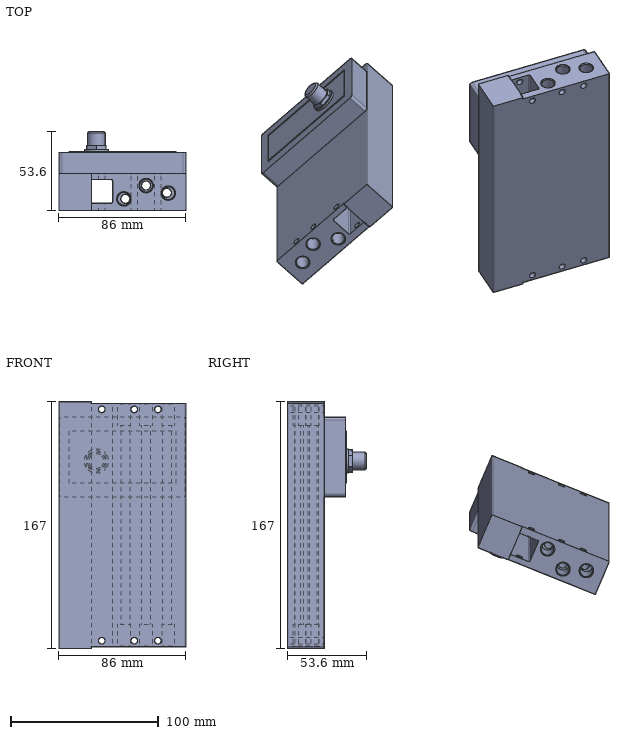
import cadquery as cq
import math

BLOCK_WIDTH = 86.0
BLOCK_DEPTH = 25.0
CAP_WIDTH = 22.2
CAP_STEP = 1.2
OVERALL_HEIGHT = 167.0
BLOCK_BOTTOM = CAP_STEP
BLOCK_TOP = OVERALL_HEIGHT - CAP_STEP
EDGE_RADIUS = 0.6

DUCT_WIDTH = 14.1
DUCT_FRONT = 5.1
DUCT_BACK = 21.0
DUCT_CORNER_RADIUS = 1.0

MOUNT_HOLE_DIAMETER = 4.3
MOUNT_HOLE_X = (29.0, 51.0, 67.0)
MOUNT_HOLE_INSET = 5.3

PORTS = (
    (44.0, 8.0, 45.0, 8.0),
    (59.0, 17.0, 59.0, 17.0),
    (74.0, 11.9, 73.1, 12.1),
)
PORT_DIAMETER = 8.6
PORT_CHAMFER = 0.6
PORT_DEPTH = 15.0
PASSAGE_DIAMETER = 6.0

HOUSING_DEPTH = 14.5
HOUSING_BOTTOM = 102.6
HOUSING_HEIGHT = 53.9
HOUSING_CORNER_RADIUS = 2.0
HOUSING_BACK = BLOCK_DEPTH + HOUSING_DEPTH
HOUSING_CENTER_Z = HOUSING_BOTTOM + HOUSING_HEIGHT / 2

LABEL_WIDTH = 72.4
LABEL_HEIGHT = 35.0
LABEL_THICKNESS = 0.5

CONNECTOR_X = 25.4
CONNECTOR_Z = 126.8
CONNECTOR_END = 53.6
BARREL_DIAMETER = 12.2
BARREL_CHAMFER = 1.1
NUT_ACROSS_FLATS = 13.2
NUT_END = 44.0
WASHER_DIAMETER = 16.4
WASHER_END = 41.4


def box(x_min, x_max, y_min, y_max, z_min, z_max):
    """Box between two opposite corners."""
    size = (x_max - x_min, y_max - y_min, z_max - z_min)
    return cq.Workplane("XY").box(*size, centered=False).translate((x_min, y_min, z_min))


def back_facing_plane(x, y, z):
    """Workplane at a point, with its normal along +Y."""
    return cq.Workplane(cq.Plane(origin=(x, y, z), xDir=(1, 0, 0), normal=(0, 1, 0)))


def make_block():
    """Block with a taller cap column on its left side."""
    block = box(0, BLOCK_WIDTH, 0, BLOCK_DEPTH, BLOCK_BOTTOM, BLOCK_TOP)
    block = block.edges("|Z").fillet(EDGE_RADIUS)
    for cap_bottom in (0, BLOCK_TOP):
        cap = box(0, CAP_WIDTH, 0, BLOCK_DEPTH, cap_bottom, cap_bottom + CAP_STEP)
        block = block.union(cap.edges("|Z").fillet(EDGE_RADIUS))
    return block


def make_duct():
    duct = box(CAP_WIDTH, CAP_WIDTH + DUCT_WIDTH, DUCT_FRONT, DUCT_BACK, 0, OVERALL_HEIGHT)
    return duct.edges("|Z and >X").fillet(DUCT_CORNER_RADIUS)


def make_mount_holes():
    places = []
    for x in MOUNT_HOLE_X:
        places.append((x, MOUNT_HOLE_INSET))
        places.append((x, OVERALL_HEIGHT - MOUNT_HOLE_INSET))
    sketch = cq.Workplane("XZ").pushPoints(places)
    return sketch.circle(MOUNT_HOLE_DIAMETER / 2).extrude(-BLOCK_DEPTH)


def make_port(x, y, passage_x, passage_y):
    """Chamfered bore in each end, joined by a narrower passage."""
    radius = PORT_DIAMETER / 2
    profile = [
        (0, BLOCK_TOP),
        (radius + PORT_CHAMFER, BLOCK_TOP),
        (radius, BLOCK_TOP - PORT_CHAMFER),
        (radius, BLOCK_TOP - PORT_DEPTH),
        (0, BLOCK_TOP - PORT_DEPTH),
    ]
    upper_bore = cq.Workplane("XZ").polyline(profile).close().revolve(360, (0, 0), (0, 1))
    lower_bore = upper_bore.mirror("XY", (0, 0, OVERALL_HEIGHT / 2))
    passage = cq.Workplane("XY").circle(PASSAGE_DIAMETER / 2).extrude(OVERALL_HEIGHT)
    bores = upper_bore.union(lower_bore).translate((x, y, 0))
    return bores.union(passage.translate((passage_x, passage_y, 0)))


def make_housing():
    housing_top = HOUSING_BOTTOM + HOUSING_HEIGHT
    housing = box(0, BLOCK_WIDTH, BLOCK_DEPTH, HOUSING_BACK, HOUSING_BOTTOM, housing_top)
    housing = housing.edges("|Y").fillet(HOUSING_CORNER_RADIUS)
    label = back_facing_plane(BLOCK_WIDTH / 2, HOUSING_BACK, HOUSING_CENTER_Z)
    label = label.rect(LABEL_WIDTH, LABEL_HEIGHT).extrude(LABEL_THICKNESS)
    return housing.union(label)


def make_connector():
    """Washer, hexagon nut with corners at top and bottom, and chamfered barrel."""
    base = back_facing_plane(CONNECTOR_X, HOUSING_BACK, CONNECTOR_Z)
    washer = base.circle(WASHER_DIAMETER / 2).extrude(WASHER_END - HOUSING_BACK)
    nut_across_corners = NUT_ACROSS_FLATS / math.cos(math.pi / 6)
    nut = base.transformed(rotate=(0, 0, 90)).polygon(6, nut_across_corners)
    nut = nut.extrude(NUT_END - HOUSING_BACK)
    barrel = base.circle(BARREL_DIAMETER / 2).extrude(CONNECTOR_END - HOUSING_BACK)
    barrel = barrel.faces(">Y").chamfer(BARREL_CHAMFER)
    return washer.union(nut).union(barrel)


block = make_block().cut(make_duct()).cut(make_mount_holes())
for port in PORTS:
    block = block.cut(make_port(*port))

result = block.union(make_housing()).union(make_connector())